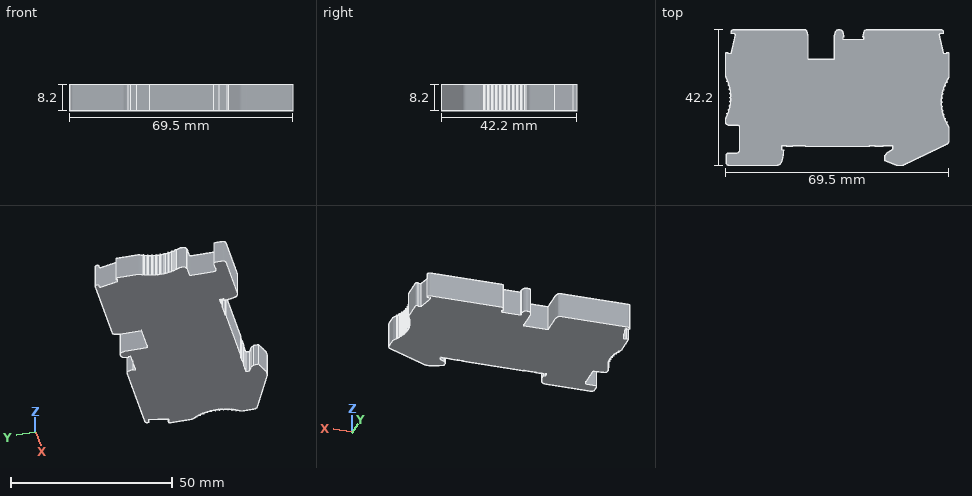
import cadquery as cq
import math

length = 69.5
depth = 42.2
thickness = 8.2

lip_inset = 1.75
lip_height = 1.25
neck_inset = 3.1
shoulder_y = 34.8
shoulder_rim_width = 0.75
shoulder_rim_height = 0.3
lip_top_round = 0.75
lip_under_round = 0.35
neck_round = 0.3
rim_round = 0.4

slot_left = 25.7
slot_right = 33.8
slot_floor_y = 33.1
mouth_taper = 0.55
mouth_y = 40.3
mouth_round = 0.6
finger_right = 36.9
finger_round = 1.05
latch_floor_y = 39.2
latch_right = 42.95
latch_lip_y = 39.95
latch_undercut = 0.35
latch_taper = 0.55
latch_round = 1.0
finger_peak_left = slot_right + mouth_taper
finger_peak_right = finger_right - mouth_taper
latch_left = finger_right - latch_undercut
latch_lip_right = latch_right - latch_undercut
right_block_corner = latch_lip_right + latch_taper

grip_radius = 13.7
tooth_pitch = 1.3
tooth_width = 0.5
tooth_height = 0.31
left_grip_y = 21.1
left_grip_depth = 1.7
left_tooth_count = 9
right_grip_y = 19.7
right_grip_depth = 2.4
right_tooth_count = 11
grip_edge_round = 1.1

notch_top_y = 12.45
notch_x = 4.4
notch_rim_width = 1.05
notch_rim_step = 0.15
notch_rim_y = notch_top_y + notch_rim_step
foot_top_y = 3.9
foot_left = 0.2
foot_right = 18.15
foot_ledge_y = 4.85
rail_left = 17.5
notch_edge_round = 1.0
notch_top_round = 0.35
notch_bottom_round = 0.9
foot_top_round = 0.75
foot_bottom_round = 1.0
foot_nose_x = 17.1
foot_nose_round = 1.8
foot_face_round = 10.4
foot_nose_top_y = 3.0

seat_y = 6.1
pad_drop = 0.15
left_pad = (19.05, 20.9)
right_pad = (46.5, 48.9)
center_pad_drop = 0.2
center_pad = (24.8, 44.7)

rail_right = 51.9
hook_root_y = 5.0
hook_throat = (50.25, 4.0)
hook_tip_x = 49.5
hook_tip_top_y = 3.05
hook_tip_low_y = 1.5
hook_bottom_left = 53.3
hook_bottom_right = 55.05
hook_left_round = 1.95
hook_right_round = 0.9
ramp_end_y = 6.95
ramp_round = 1.45


def shoulder_corners():
    """Corners of the left lip, neck and shoulder, from the top edge downwards."""
    lip_y = depth - lip_height
    return [
        (lip_inset, depth),
        (lip_inset, lip_y),
        (neck_inset, lip_y),
        (lip_inset, shoulder_y),
        (shoulder_rim_width, shoulder_y),
        (shoulder_rim_width, shoulder_y + shoulder_rim_height),
        (0, shoulder_y + shoulder_rim_height),
    ]


def mirrored(points):
    """The same points at the opposite end of the part, in reverse order."""
    return [(length - x, y) for x, y in reversed(points)]


def pad_corners(pad, drop):
    """A low pad standing below the rail seat."""
    start, end = pad
    return [(start, seat_y), (start, seat_y - drop), (end, seat_y - drop), (end, seat_y)]


def body():
    """Plate with the full outline; most corners are still sharp."""
    outline = (
        shoulder_corners()
        + [
            (0, notch_rim_y),
            (notch_rim_width, notch_rim_y),
            (notch_rim_width, notch_top_y),
            (notch_x, notch_top_y),
            (notch_x, foot_top_y),
            (foot_left, foot_top_y),
            (foot_left, 0),
            (foot_nose_x, 0),
            (foot_right, foot_nose_top_y),
            (foot_right, foot_ledge_y),
            (rail_left, foot_ledge_y),
            (rail_left, seat_y),
        ]
        + pad_corners(left_pad, pad_drop)
        + pad_corners(center_pad, center_pad_drop)
        + pad_corners(right_pad, pad_drop)
        + [
            (rail_right, seat_y),
            (rail_right, hook_root_y),
            hook_throat,
            (hook_tip_x, hook_tip_top_y),
            (hook_tip_x, hook_tip_low_y),
            (hook_bottom_left, 0),
            (hook_bottom_right, 0),
            (length, ramp_end_y),
        ]
        + mirrored(shoulder_corners())
        + [
            (right_block_corner, depth),
            (latch_lip_right, latch_lip_y),
            (latch_right, latch_lip_y),
            (latch_right, latch_floor_y),
            (latch_left, latch_floor_y),
            (latch_left, latch_lip_y),
            (finger_right, latch_lip_y),
            (finger_peak_right, depth),
            (finger_peak_left, depth),
            (slot_right, mouth_y),
            (slot_right, slot_floor_y),
            (slot_left, slot_floor_y),
            (slot_left, mouth_y),
            (slot_left - mouth_taper, depth),
        ]
    )
    return cq.Workplane("XY").polyline(outline).close().extrude(thickness)


def round_corners(solid, radius, corners):
    """Round the upright edges that stand on the given outline corners."""
    for x, y in corners:
        edge = cq.selectors.NearestToPointSelector((x, y, thickness / 2))
        solid = solid.edges("|Z").edges(edge).fillet(radius)
    return solid


def grip(solid, outward, edge_x, center_y, grip_depth, tooth_count):
    """Scoop a round grip out of an end face and line it with small radial teeth."""
    center_x = edge_x + outward * (grip_radius - grip_depth)
    scoop = cq.Workplane("XY").center(center_x, center_y).circle(grip_radius).extrude(thickness)
    solid = solid.cut(scoop)
    half_chord = math.sqrt(grip_radius**2 - (grip_radius - grip_depth) ** 2)
    ends = [(edge_x, center_y - half_chord), (edge_x, center_y + half_chord)]
    solid = round_corners(solid, grip_edge_round, ends)
    pitch_angle = math.degrees(tooth_pitch / grip_radius)
    tip = grip_radius - tooth_height
    root = grip_radius + tooth_height
    tooth = (
        cq.Workplane("XY")
        .polyline(
            [
                (-outward * tip, 0),
                (-outward * grip_radius, tooth_width / 2),
                (-outward * root, tooth_width / 2),
                (-outward * root, -tooth_width / 2),
                (-outward * grip_radius, -tooth_width / 2),
            ]
        )
        .close()
        .extrude(thickness)
    )
    for index in range(tooth_count):
        angle = (index - (tooth_count - 1) / 2) * pitch_angle
        placed = tooth.rotate((0, 0, 0), (0, 0, 1), angle).translate((center_x, center_y, 0))
        solid = solid.union(placed)
    return solid


part = body()

lip_top, lip_under, neck, _, _, _, rim = shoulder_corners()
for radius, corner in (
    (lip_top_round, lip_top),
    (lip_under_round, lip_under),
    (neck_round, neck),
    (rim_round, rim),
):
    part = round_corners(part, radius, [corner] + mirrored([corner]))

part = round_corners(part, mouth_round, [(slot_left - mouth_taper, depth)])
part = round_corners(part, finger_round, [(finger_peak_left, depth), (finger_peak_right, depth)])
part = round_corners(part, latch_round, [(right_block_corner, depth)])

part = round_corners(part, notch_edge_round, [(0, notch_rim_y)])
part = round_corners(part, notch_top_round, [(notch_x, notch_top_y)])
part = round_corners(part, notch_bottom_round, [(notch_x, foot_top_y)])
part = round_corners(part, foot_top_round, [(foot_left, foot_top_y)])
part = round_corners(part, foot_bottom_round, [(foot_left, 0)])
part = round_corners(part, foot_nose_round, [(foot_nose_x, 0)])
part = round_corners(part, foot_face_round, [(foot_right, foot_nose_top_y)])

part = round_corners(part, hook_left_round, [(hook_bottom_left, 0)])
part = round_corners(part, hook_right_round, [(hook_bottom_right, 0)])
part = round_corners(part, ramp_round, [(length, ramp_end_y)])

part = grip(part, -1, 0, left_grip_y, left_grip_depth, left_tooth_count)
part = grip(part, 1, length, right_grip_y, right_grip_depth, right_tooth_count)

result = part